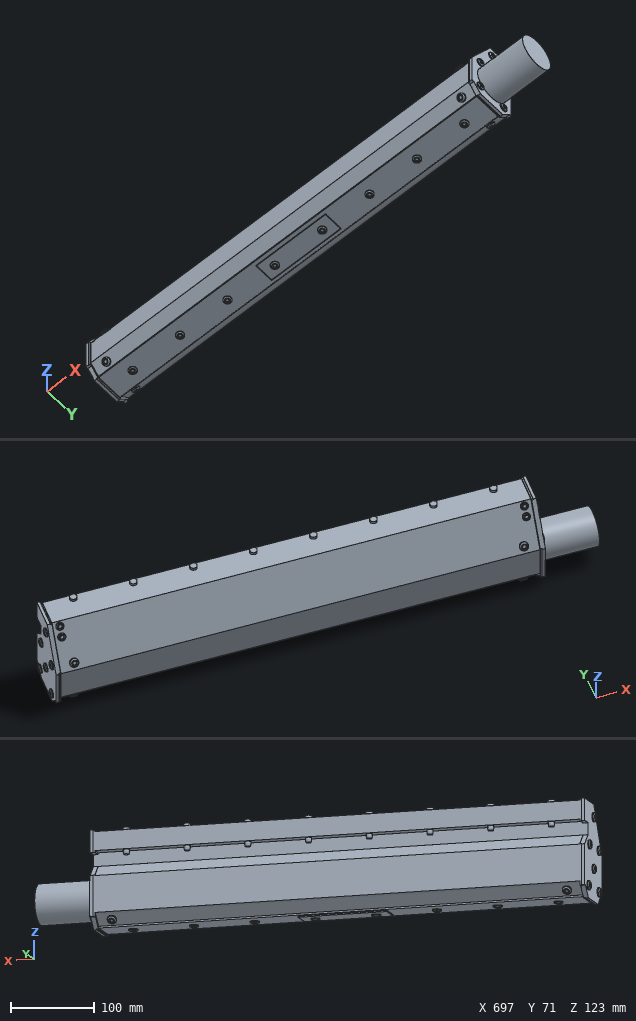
import cadquery as cq
import math

TOTAL_LENGTH = 697.0
CAP_DEPTH = 71.0
CAP_HEIGHT = 120.0
HALF_DEPTH = CAP_DEPTH / 2

END_HEAD_HEIGHT = 3.0
PLATE_THICKNESS = 4.0
INNER_PLATE_THICKNESS = 2.0
CAP_THICKNESS = PLATE_THICKNESS + INNER_PLATE_THICKNESS
LEFT_CAP_X = END_HEAD_HEIGHT
RIGHT_CAP_X = 625.0
BODY_START_X = LEFT_CAP_X + CAP_THICKNESS
BODY_END_X = RIGHT_CAP_X - CAP_THICKNESS
BODY_MID_X = (BODY_START_X + BODY_END_X) / 2

INNER_PLATE_INSET = 1.0
SHOULDER_Z = 63.5
SLANT_TOP_Y = -3.0
LIP_BOTTOM_Z = 92.0
NOTCH_FLOOR_Y = 21.5
NOTCH_LOW_Z = SHOULDER_Z + HALF_DEPTH - NOTCH_FLOOR_Y
CAP_CHAMFER_TOP_Z = 13.0
CAP_CHAMFER_TOP_Y = 32.0
CAP_CHAMFER_BOTTOM_Y = 20.0

BODY_INSET = 2.0
BODY_BACK_INSET = 1.0
BODY_BACK_Y = HALF_DEPTH - BODY_BACK_INSET
BODY_FRONT_Y = -HALF_DEPTH + BODY_INSET
BODY_TOP_Z = CAP_HEIGHT - BODY_INSET
BODY_BOTTOM_Z = BODY_INSET
BODY_LIP_Z = LIP_BOTTOM_Z + BODY_INSET
BODY_SLANT_TOP_Y = 0.0
BODY_SLANT_BOTTOM_Z = 61.5
BODY_CHAMFER_TOP_Z = 16.0
BODY_CHAMFER_TOP_Y = 31.5
BODY_CHAMFER_BOTTOM_Z = 4.0
BODY_CHAMFER_BOTTOM_Y = 19.5
BODY_STEP = 2.0

SPIGOT_DIAMETER = 51.0
SPIGOT_Z = 40.0

END_HEAD = (11.0, 8.0, END_HEAD_HEIGHT)
FACE_HEAD = (11.0, 8.0, 3.5)
SMALL_FACE_HEAD = (10.0, 8.0, 3.0)
TOP_HEAD = (9.0, 9.0, 3.5)
LIP_HEAD = (8.0, 6.0, 5.5)
BOTTOM_HEAD = (11.0, 8.0, 2.0)
HEAD_SINK = 1.5
SOCKET_DIAMETER = 5.0
SOCKET_DEPTH = 1.5

END_SCREWS = [(0, 103.0), (17.5, 66.0), (-21.0, 66.0), (0, SPIGOT_Z), (21.0, 15.0), (-21.0, 15.0)]
ROW_COUNT = 8
ROW_SPAN = 534.0
ROW_Y = 28.5
SLANT_SMALL_SPACING = 590.5
SLANT_SMALL_ZS = [112.0, 100.5]
CORNER_SPACING = 572.0
SLANT_LARGE_Z = 70.0
CHAMFER_SCREW_Z = 10.5

PAD_LENGTH = 111.5
PAD_WIDTH = 28.0
PAD_THICKNESS = 1.5


def extrude_outline(points, start_x, length):
    """Extrude a closed (Y, Z) outline along X."""
    return cq.Workplane("YZ", origin=(start_x, 0, 0)).polyline(points).close().extrude(length)


def screw_head(point, direction, head, socket=True):
    """Screw head standing on a face at point, sunk a little into it."""
    diameter, crown_diameter, height = head
    axis = cq.Vector(*direction).normalized()
    base = cq.Vector(*point)
    middle = base + axis * (height / 2)
    solid = cq.Solid.makeCylinder(diameter / 2, HEAD_SINK + height / 2, base - axis * HEAD_SINK, axis)
    if crown_diameter < diameter:
        crown = cq.Solid.makeCone(diameter / 2, crown_diameter / 2, height / 2, middle, axis)
    else:
        crown = cq.Solid.makeCylinder(diameter / 2, height / 2, middle, axis)
    solid = solid.fuse(crown)
    if socket:
        floor = base + axis * (height - SOCKET_DEPTH)
        solid = solid.cut(cq.Solid.makeCylinder(SOCKET_DIAMETER / 2, SOCKET_DEPTH, floor, axis))
    return solid


def end_cap(outer_x, inward):
    """Outer plate, trimmed inner plate and screw heads; inward is +1 or -1 along X."""
    outline = [
        (HALF_DEPTH, CAP_CHAMFER_TOP_Z),
        (HALF_DEPTH, SHOULDER_Z),
        (NOTCH_FLOOR_Y, NOTCH_LOW_Z),
        (NOTCH_FLOOR_Y, LIP_BOTTOM_Z),
        (HALF_DEPTH, LIP_BOTTOM_Z),
        (HALF_DEPTH, CAP_HEIGHT),
        (SLANT_TOP_Y, CAP_HEIGHT),
        (-HALF_DEPTH, SHOULDER_Z),
        (-HALF_DEPTH, CAP_CHAMFER_TOP_Z),
        (-CAP_CHAMFER_TOP_Y, CAP_CHAMFER_TOP_Z),
        (-CAP_CHAMFER_BOTTOM_Y, 0),
        (CAP_CHAMFER_BOTTOM_Y, 0),
        (CAP_CHAMFER_TOP_Y, CAP_CHAMFER_TOP_Z),
    ]
    inner_x = outer_x + inward * PLATE_THICKNESS
    outer_plate = extrude_outline(outline, outer_x, inward * PLATE_THICKNESS)
    trim = cq.Workplane("XY", origin=(inner_x, 0, CAP_HEIGHT / 2)).box(
        2 * INNER_PLATE_THICKNESS,
        CAP_DEPTH - 2 * INNER_PLATE_INSET,
        CAP_HEIGHT - 2 * INNER_PLATE_INSET,
    )
    inner_plate = extrude_outline(outline, inner_x, inward * INNER_PLATE_THICKNESS).intersect(trim)
    cap = outer_plate.union(inner_plate)
    for y, z in END_SCREWS:
        cap = cap.union(cq.Workplane(screw_head((outer_x, y, z), (-inward, 0, 0), END_HEAD)))
    return cap


def body():
    """Long profile with a small step above and below each lower chamfer."""
    outline = [
        (BODY_BACK_Y, BODY_CHAMFER_TOP_Z + BODY_STEP),
        (BODY_BACK_Y, SHOULDER_Z),
        (NOTCH_FLOOR_Y, NOTCH_LOW_Z),
        (NOTCH_FLOOR_Y, BODY_LIP_Z),
        (BODY_BACK_Y, BODY_LIP_Z),
        (BODY_BACK_Y, BODY_TOP_Z),
        (BODY_SLANT_TOP_Y, BODY_TOP_Z),
        (BODY_FRONT_Y, BODY_SLANT_BOTTOM_Z),
        (BODY_FRONT_Y, BODY_CHAMFER_TOP_Z + BODY_STEP),
        (-BODY_CHAMFER_TOP_Y, BODY_CHAMFER_TOP_Z),
        (-BODY_CHAMFER_BOTTOM_Y, BODY_CHAMFER_BOTTOM_Z),
        (-BODY_CHAMFER_BOTTOM_Y, BODY_BOTTOM_Z),
        (BODY_CHAMFER_BOTTOM_Y, BODY_BOTTOM_Z),
        (BODY_CHAMFER_BOTTOM_Y, BODY_CHAMFER_BOTTOM_Z),
        (BODY_CHAMFER_TOP_Y, BODY_CHAMFER_TOP_Z),
    ]
    return extrude_outline(outline, BODY_START_X, BODY_END_X - BODY_START_X)


def pad():
    """Thin plate under the middle of the body."""
    return (
        cq.Workplane("XY", origin=(BODY_MID_X, 0, BODY_BOTTOM_Z - PAD_THICKNESS))
        .rect(PAD_LENGTH, PAD_WIDTH)
        .extrude(2 * PAD_THICKNESS)
    )


def spigot():
    """Round spigot running through the right end cap to the far end."""
    return (
        cq.Workplane("YZ", origin=(BODY_END_X, 0, SPIGOT_Z))
        .circle(SPIGOT_DIAMETER / 2)
        .extrude(TOTAL_LENGTH - BODY_END_X)
    )


def row_screws():
    """Rows along the top, under the lip and along the underside."""
    heads = []
    for i in range(ROW_COUNT):
        x = BODY_MID_X + ROW_SPAN * (i / (ROW_COUNT - 1) - 0.5)
        on_pad = abs(x - BODY_MID_X) < PAD_LENGTH / 2
        bottom_z = BODY_BOTTOM_Z - (PAD_THICKNESS if on_pad else 0)
        heads.append(screw_head((x, ROW_Y, BODY_TOP_Z), (0, 0, 1), TOP_HEAD, socket=False))
        heads.append(screw_head((x, ROW_Y, BODY_LIP_Z), (0, 0, -1), LIP_HEAD, socket=False))
        heads.append(screw_head((x, 0, bottom_z), (0, 0, -1), BOTTOM_HEAD))
    return heads


def corner_screws():
    """Screws near both ends, square to the sloping face and the lower chamfers."""
    slant_run = BODY_SLANT_TOP_Y - BODY_FRONT_Y
    slant_rise = BODY_TOP_Z - BODY_SLANT_BOTTOM_Z
    chamfer_run = BODY_CHAMFER_TOP_Y - BODY_CHAMFER_BOTTOM_Y
    chamfer_rise = BODY_CHAMFER_TOP_Z - BODY_CHAMFER_BOTTOM_Z
    chamfer_y = BODY_CHAMFER_BOTTOM_Y + chamfer_run * (CHAMFER_SCREW_Z - BODY_CHAMFER_BOTTOM_Z) / chamfer_rise

    def slant_head(x, z, head):
        y = BODY_FRONT_Y + slant_run * (z - BODY_SLANT_BOTTOM_Z) / slant_rise
        return screw_head((x, y, z), (0, -slant_rise, slant_run), head)

    heads = []
    for end in (-1, 1):
        small_x = BODY_MID_X + end * SLANT_SMALL_SPACING / 2
        corner_x = BODY_MID_X + end * CORNER_SPACING / 2
        for z in SLANT_SMALL_ZS:
            heads.append(slant_head(small_x, z, SMALL_FACE_HEAD))
        heads.append(slant_head(corner_x, SLANT_LARGE_Z, FACE_HEAD))
        for side in (-1, 1):
            point = (corner_x, side * chamfer_y, CHAMFER_SCREW_Z)
            heads.append(screw_head(point, (0, side * chamfer_rise, -chamfer_run), FACE_HEAD))
    return heads


result = body().union(pad())
result = result.union(end_cap(LEFT_CAP_X, 1)).union(end_cap(RIGHT_CAP_X, -1))
result = result.union(spigot())
for screw in row_screws() + corner_screws():
    result = result.union(cq.Workplane(screw))